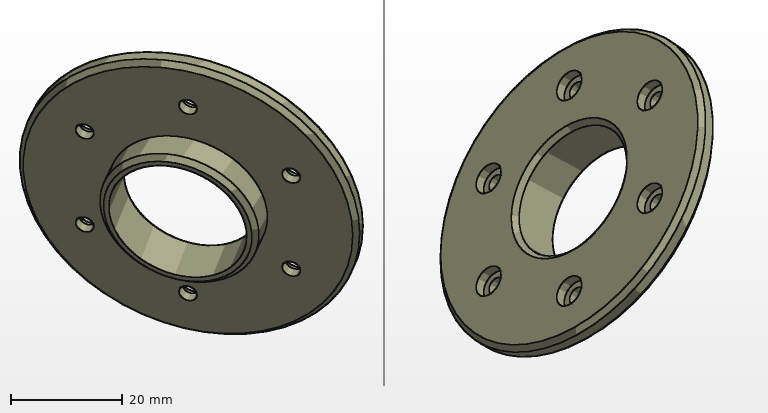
import cadquery as cq

flange_diameter = 64.2
flange_thickness = 4.0
hub_diameter = 30.0
hub_height = 6.0
bore_diameter = 26.0
edge_chamfer = 1.0
chamfer_angle = 45.0

bolt_hole_count = 6
bolt_hole_diameter = 3.4
bolt_circle_diameter = 45.0
counterbore_diameter = 6.0
counterbore_depth = 2.0
first_hole_angle = 90.0
full_turn = 360.0

total_depth = flange_thickness + hub_height


def cylinder(diameter, depth):
    """Cylinder on the part's axis, from Y = 0 toward -Y."""
    return cq.Workplane("XZ").circle(diameter / 2).extrude(depth)


def chamfered_flange():
    """Round plate, chamfered on both rims."""
    return cylinder(flange_diameter, flange_thickness).edges().chamfer(edge_chamfer)


def chamfered_hub():
    """Round boss reaching through the plate to -Y, chamfered on its free end."""
    return cylinder(hub_diameter, total_depth).faces("<Y").edges().chamfer(edge_chamfer)


def center_bore():
    """Bore through the plate and hub, with a conical flare at the back face."""
    flare_radius = bore_diameter / 2 + edge_chamfer
    flare = cq.Workplane("XZ").circle(flare_radius).extrude(edge_chamfer, taper=chamfer_angle)
    return cylinder(bore_diameter, total_depth).union(flare)


def cylinder_ring(diameter, depth):
    """Equally spaced cylinders on the bolt circle, the first one straight up in Z."""
    return (
        cq.Workplane("XZ")
        .polarArray(bolt_circle_diameter / 2, first_hole_angle, full_turn, bolt_hole_count)
        .circle(diameter / 2)
        .extrude(depth)
    )


def counterbored_bolt_holes():
    """Through holes in the plate, each with a round counterbore at the back face."""
    holes = cylinder_ring(bolt_hole_diameter, flange_thickness)
    return holes.union(cylinder_ring(counterbore_diameter, counterbore_depth))


body = chamfered_flange().union(chamfered_hub())
result = body.cut(center_bore()).cut(counterbored_bolt_holes())